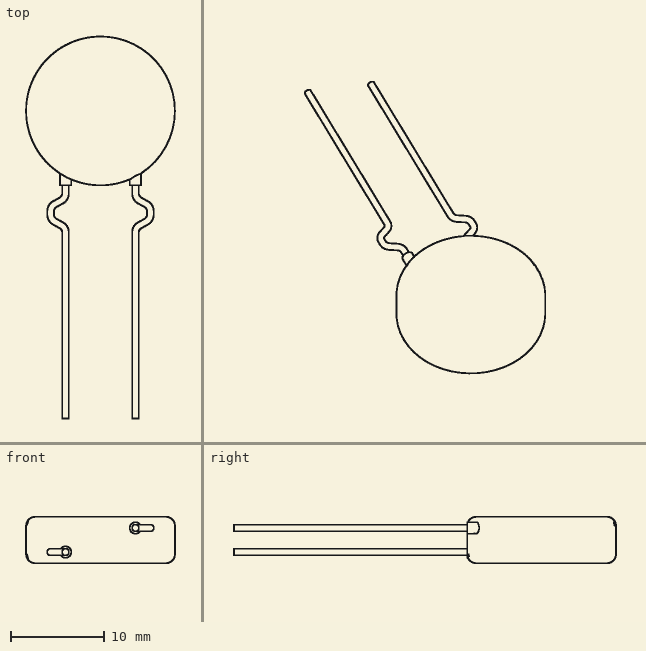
import cadquery as cq
import math


disc_diameter = 16.0
disc_thickness = 5.0
disc_rim_fillet = 1.0
disc_radius = disc_diameter / 2

sleeve_diameter = 1.25
sleeve_end_y = -disc_radius

overall_length = 41.0
lead_pitch = 7.5
lead_height_step = 2.6
wire_diameter = 0.75
lead_tip_y = disc_radius - overall_length

neck_length = 0.85
kink_offset = 1.6
crest_length = 0.35
bend_radius = 0.85
bend_angle = math.radians(61)

bend_side = bend_radius * (1 - math.cos(bend_angle))
bend_drop = bend_radius * math.sin(bend_angle)
slope_side = kink_offset - 2 * bend_side
slope_drop = slope_side / math.tan(bend_angle)

LEAD_SIDES = (-1, 1)


def lead_x(side):
    return side * lead_pitch / 2


def lead_z(side):
    return side * lead_height_step / 2


def make_disc():
    base = cq.Workplane("XY", origin=(0, 0, -disc_thickness / 2))
    disc = base.circle(disc_radius).extrude(disc_thickness)
    return disc.edges("%CIRCLE").fillet(disc_rim_fillet)


def make_sleeve(side):
    """Round sleeve from the middle of the disc out to the rim level."""
    return (
        cq.Workplane("XZ", origin=(lead_x(side), 0, lead_z(side)))
        .circle(sleeve_diameter / 2)
        .extrude(-sleeve_end_y)
    )


def make_housing():
    housing = make_disc()
    for side in LEAD_SIDES:
        housing = housing.union(make_sleeve(side))
    return housing.solids()


def make_lead_path(side):
    """Centreline in local X and Y, starting at the sleeve end and running to -Y."""
    path = cq.Workplane("XY", origin=(lead_x(side), sleeve_end_y, lead_z(side))).moveTo(0, 0)
    x = 0
    y = -neck_length
    path = path.lineTo(x, y)

    for direction in (side, -side):
        x += direction * bend_side
        y -= bend_drop
        path = path.tangentArcPoint((x, y), relative=False)
        x += direction * slope_side
        y -= slope_drop
        path = path.lineTo(x, y)
        x += direction * bend_side
        y -= bend_drop
        path = path.tangentArcPoint((x, y), relative=False)
        if direction == side:
            y -= crest_length
            path = path.lineTo(x, y)

    return path.lineTo(0, lead_tip_y - sleeve_end_y)


def make_lead(side):
    """Round wire that butts against the sleeve end."""
    section = cq.Workplane("XZ", origin=(lead_x(side), sleeve_end_y, lead_z(side)))
    return section.circle(wire_diameter / 2).sweep(make_lead_path(side))


housing = make_housing()
leads = [make_lead(side) for side in LEAD_SIDES]

result = cq.Compound.makeCompound([housing.val(), *[lead.val() for lead in leads]])